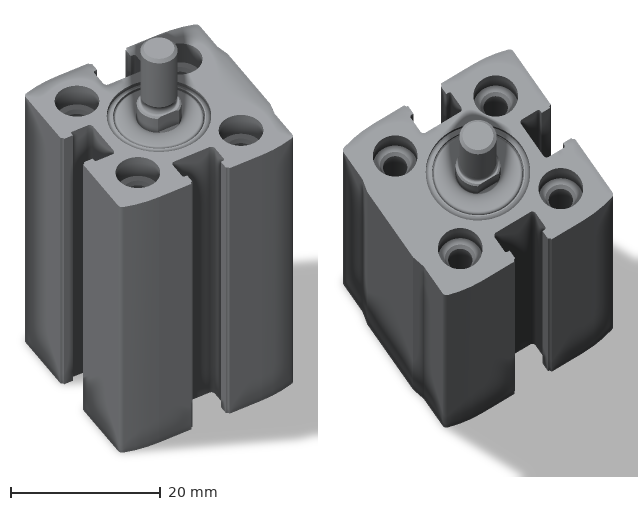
import cadquery as cq
import math

TOTAL_HEIGHT = 58.0
HOUSING_HEIGHT = 45.5
HALF_WIDTH = 13.5

FLAT_HALF_LENGTH = 8.0
SIDE_BOW_RADIUS = 17.4
CORNER_RADIUS = 0.65

PAD_HEIGHT = 0.45
PAD_HALF_WIDTH = 5.6
PAD_FOOT_HALF_WIDTH = 7.55

SLOT_MOUTH_HALF = 2.6
SLOT_INNER_HALF = 3.25
SLOT_LIP = 1.7
SLOT_DEPTH = 4.9
SLOT_MOUTH_RADIUS = 0.35
SLOT_FLOOR_RADIUS = 0.5
SLOT_LIP_RADIUS = 0.3
SLOT_DIRECTIONS = (-90, 0, 90)

HOLE_SPACING = 16.0
HOLE_DIAMETER = 3.25
COUNTERBORE_DIAMETER = 6.0
COUNTERBORE_DEPTH = 3.5
COUNTERSINK_DIAMETER = 4.1
COUNTERSINK_ANGLE = 90

COVER_RECESS = 0.2
COVER_TOP = HOUSING_HEIGHT - COVER_RECESS
RING_OUTER_RADIUS = 14.0 / 2
RING_CREST_RADIUS = 6.3
RING_INNER_RADIUS = 6.15
RING_SLOPE = 30
COVER_RADIUS = 12.0 / 2
COVER_EDGE_RADIUS = 0.4

ROD_RADIUS = 6.0 / 2
ROD_INSERTION = 5.8
BORE_CHAMFER = 0.1
SHOULDER_HEIGHT = 2.5
SHOULDER_CHAMFER = 0.25
FLATS_WIDTH = 5.0
FLATS_RUNOUT_SLOPE = 30
CUTTER_MARGIN = 0.6
STUD_RADIUS = 5.0 / 2
STUD_END_RADIUS = 4.1 / 2
STUD_BOTTOM = 3.95
NECK_RADIUS = 3.9 / 2
NECK_FOOT_RADIUS = 2.25
NECK_CURVE_RADIUS = 0.7


def housing_blank():
    """Bar with bowed sides, rounded corners and a low pad on +Y."""
    bow_rise = HALF_WIDTH - FLAT_HALF_LENGTH

    def bowed_x(y_past_flat):
        return HALF_WIDTH - SIDE_BOW_RADIUS + math.sqrt(SIDE_BOW_RADIUS**2 - y_past_flat**2)

    middle_x = bowed_x(bow_rise / 2)
    middle_y = FLAT_HALF_LENGTH + bow_rise / 2
    corner_x = bowed_x(bow_rise)
    bar = (
        cq.Workplane("XY")
        .moveTo(-corner_x, -HALF_WIDTH)
        .lineTo(corner_x, -HALF_WIDTH)
        .threePointArc((middle_x, -middle_y), (HALF_WIDTH, -FLAT_HALF_LENGTH))
        .lineTo(HALF_WIDTH, FLAT_HALF_LENGTH)
        .threePointArc((middle_x, middle_y), (corner_x, HALF_WIDTH))
        .lineTo(-corner_x, HALF_WIDTH)
        .threePointArc((-middle_x, middle_y), (-HALF_WIDTH, FLAT_HALF_LENGTH))
        .lineTo(-HALF_WIDTH, -FLAT_HALF_LENGTH)
        .threePointArc((-middle_x, -middle_y), (-corner_x, -HALF_WIDTH))
        .close()
        .extrude(HOUSING_HEIGHT)
    )
    bar = bar.faces("<Y or >Y").edges("|Z").fillet(CORNER_RADIUS)
    pad = (
        cq.Workplane("XY")
        .polyline([
            (-PAD_FOOT_HALF_WIDTH, HALF_WIDTH),
            (PAD_FOOT_HALF_WIDTH, HALF_WIDTH),
            (PAD_HALF_WIDTH, HALF_WIDTH + PAD_HEIGHT),
            (-PAD_HALF_WIDTH, HALF_WIDTH + PAD_HEIGHT),
        ])
        .close()
        .extrude(HOUSING_HEIGHT)
    )
    return bar.union(pad)


def t_slot():
    """Full-height T-slot cutter that opens on the -Y side."""
    face_y = -HALF_WIDTH
    lip_y = face_y + SLOT_LIP
    floor_y = face_y + SLOT_DEPTH
    throat_y = face_y + SLOT_MOUTH_RADIUS
    flare_half = SLOT_MOUTH_HALF + SLOT_MOUTH_RADIUS
    cutter = (
        cq.Workplane("XY")
        .moveTo(-flare_half, face_y)
        .radiusArc((-SLOT_MOUTH_HALF, throat_y), SLOT_MOUTH_RADIUS)
        .lineTo(-SLOT_MOUTH_HALF, lip_y)
        .lineTo(-SLOT_INNER_HALF, lip_y)
        .lineTo(-SLOT_INNER_HALF, floor_y)
        .lineTo(SLOT_INNER_HALF, floor_y)
        .lineTo(SLOT_INNER_HALF, lip_y)
        .lineTo(SLOT_MOUTH_HALF, lip_y)
        .lineTo(SLOT_MOUTH_HALF, throat_y)
        .radiusArc((flare_half, face_y), SLOT_MOUTH_RADIUS)
        .close()
        .extrude(HOUSING_HEIGHT)
    )
    cutter = cutter.faces(">Y").edges("|Z").fillet(SLOT_FLOOR_RADIUS)
    return cutter.faces("<X or >X").edges("<Y").fillet(SLOT_LIP_RADIUS)


def drill_mounting_holes(body):
    """Four through holes, each with a counterbore and a countersink on its floor."""
    holes = (
        body.faces(">Z")
        .workplane(origin=(0, 0, HOUSING_HEIGHT))
        .rect(HOLE_SPACING, HOLE_SPACING, forConstruction=True)
        .vertices()
    )
    drilled = holes.cboreHole(HOLE_DIAMETER, COUNTERBORE_DIAMETER, COUNTERBORE_DEPTH)
    return (
        drilled.faces(">Z")
        .workplane(origin=(0, 0, HOUSING_HEIGHT), offset=-COUNTERBORE_DEPTH)
        .rect(HOLE_SPACING, HOLE_SPACING, forConstruction=True)
        .vertices()
        .cskHole(HOLE_DIAMETER, COUNTERSINK_DIAMETER, COUNTERSINK_ANGLE)
    )


def cover_cutters():
    """Two cutters: the shallow recess with its sloped ring, and the gap at the rounded cover edge."""
    step_bottom = COVER_TOP - (RING_OUTER_RADIUS - RING_CREST_RADIUS) * math.tan(math.radians(RING_SLOPE))
    recess = (
        cq.Workplane("XZ")
        .polyline([
            (0, COVER_TOP),
            (RING_CREST_RADIUS, COVER_TOP),
            (RING_OUTER_RADIUS, step_bottom),
            (RING_OUTER_RADIUS, HOUSING_HEIGHT),
            (0, HOUSING_HEIGHT),
        ])
        .close()
        .revolve(360, (0, 0, 0), (0, 1, 0))
    )
    gap_bottom = COVER_TOP - COVER_EDGE_RADIUS
    edge_gap = (
        cq.Workplane("XZ")
        .moveTo(COVER_RADIUS - COVER_EDGE_RADIUS, COVER_TOP)
        .radiusArc((COVER_RADIUS, gap_bottom), COVER_EDGE_RADIUS)
        .lineTo(RING_INNER_RADIUS, gap_bottom)
        .lineTo(RING_INNER_RADIUS, COVER_TOP)
        .close()
        .revolve(360, (0, 0, 0), (0, 1, 0))
    )
    return recess, edge_gap


def rod_bore():
    """Blind bore for the rod, with a small chamfer at its mouth."""
    bore = (
        cq.Workplane("XY", origin=(0, 0, COVER_TOP - ROD_INSERTION))
        .circle(ROD_RADIUS)
        .extrude(ROD_INSERTION)
    )
    mouth = (
        cq.Workplane("XY", origin=(0, 0, COVER_TOP))
        .circle(ROD_RADIUS + BORE_CHAMFER)
        .extrude(-BORE_CHAMFER, taper=45)
    )
    return bore.union(mouth)


def make_housing():
    body = housing_blank()
    for direction in SLOT_DIRECTIONS:
        body = body.cut(t_slot().rotate((0, 0, 0), (0, 0, 1), direction))
    body = drill_mounting_holes(body)
    for cutter in cover_cutters():
        body = body.cut(cutter)
    return body.cut(rod_bore())


def flat_cutter():
    """Removes one wrench flat on +X, with a sloped run-out from the cover face down."""
    half_flats = FLATS_WIDTH / 2
    outside = ROD_RADIUS + CUTTER_MARGIN
    runout_drop = (outside - half_flats) * math.tan(math.radians(FLATS_RUNOUT_SLOPE))
    shoulder_top = HOUSING_HEIGHT + SHOULDER_HEIGHT
    return (
        cq.Workplane("XZ")
        .polyline([
            (half_flats, COVER_TOP),
            (outside, COVER_TOP - runout_drop),
            (outside, shoulder_top),
            (half_flats, shoulder_top),
        ])
        .close()
        .extrude(ROD_RADIUS, both=True)
    )


def neck_curve_height(end_radius):
    """Height over which the neck curve flares from the waist to the given radius."""
    flare = end_radius - NECK_RADIUS
    return math.sqrt(NECK_CURVE_RADIUS**2 - (NECK_CURVE_RADIUS - flare) ** 2)


def make_rod():
    """Rod with a chamfered shoulder, a waisted neck and a chamfered stud."""
    shoulder_top = HOUSING_HEIGHT + SHOULDER_HEIGHT
    stud_bottom = HOUSING_HEIGHT + STUD_BOTTOM
    stud_chamfer = STUD_RADIUS - STUD_END_RADIUS
    neck_top = stud_bottom - stud_chamfer
    waist_top = neck_top - neck_curve_height(STUD_END_RADIUS)
    waist_bottom = shoulder_top + neck_curve_height(NECK_FOOT_RADIUS)
    rod = (
        cq.Workplane("XZ")
        .moveTo(0, COVER_TOP - ROD_INSERTION)
        .lineTo(ROD_RADIUS, COVER_TOP - ROD_INSERTION)
        .lineTo(ROD_RADIUS, shoulder_top - SHOULDER_CHAMFER)
        .lineTo(ROD_RADIUS - SHOULDER_CHAMFER, shoulder_top)
        .lineTo(NECK_FOOT_RADIUS, shoulder_top)
        .radiusArc((NECK_RADIUS, waist_bottom), NECK_CURVE_RADIUS)
        .lineTo(NECK_RADIUS, waist_top)
        .radiusArc((STUD_END_RADIUS, neck_top), NECK_CURVE_RADIUS)
        .lineTo(STUD_RADIUS, stud_bottom)
        .lineTo(STUD_RADIUS, TOTAL_HEIGHT - stud_chamfer)
        .lineTo(STUD_END_RADIUS, TOTAL_HEIGHT)
        .lineTo(0, TOTAL_HEIGHT)
        .close()
        .revolve(360, (0, 0, 0), (0, 1, 0))
    )
    for turn in (0, 180):
        rod = rod.cut(flat_cutter().rotate((0, 0, 0), (0, 0, 1), turn))
    return rod


housing = make_housing()
rod = make_rod()

result = cq.Compound.makeCompound([housing.solids().val(), rod.solids().val()])